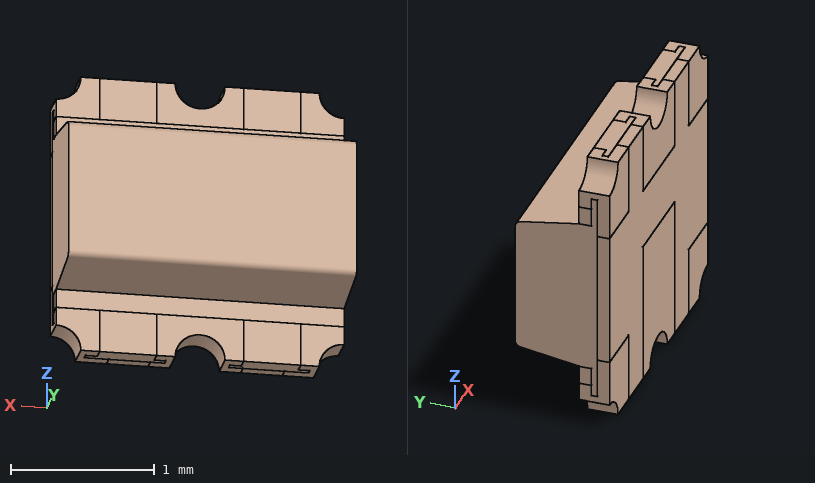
import cadquery as cq
import math


board_size = 2.04
total_depth = 0.7
half_board = board_size / 2

mask_thickness = 0.09
sheet_thickness = 0.045
back_thickness = 0.092
sheet_front = mask_thickness
sheet_back = sheet_front + sheet_thickness
board_depth = sheet_back + back_thickness

notch_radius = 0.175
plating_thickness = 0.05
plating_radius = notch_radius + plating_thickness

corner_pad_width = 0.398
middle_pad_width = 0.655
short_pad_height = 0.52
tall_pad_height = 1.069

land_size = 0.308
middle_land_width = 2 * land_size
land_inner_edge = half_board - land_size

lens_base_height = 1.153
lens_draft = 9.0
lens_edge_radius = 0.047
lens_depth = total_depth - board_depth
lens_tip_height = lens_base_height - 2 * lens_depth * math.tan(math.radians(lens_draft))


def block(width, height, front, back, x_center=0.0, z_center=0.0):
    """Box of the given X width and Z height, spanning Y from front to back."""
    return cq.Workplane("XY").box(width, back - front, height).translate(
        (x_center, (front + back) / 2, z_center)
    )


def cylinder(radius, x, z):
    """Cylinder along Y through the whole board depth."""
    return cq.Workplane("XZ").center(x, z).circle(radius).extrude(-board_depth)


def edge_block(width, height, front, back, column, side):
    """Box against the top (side 1) or bottom (side -1) board edge.

    Column -1 or 1 sets it into that corner; column 0 centres it on the edge.
    """
    x_center = column * (half_board - width / 2)
    z_center = side * (half_board - height / 2)
    return block(width, height, front, back, x_center, z_center)


def pad_block(column, side):
    """Solder pad of one contact; the bottom middle pad is the tall one."""
    width = corner_pad_width if column else middle_pad_width
    height = tall_pad_height if (column, side) == (0, -1) else short_pad_height
    return edge_block(width, height, 0, sheet_front, column, side)


def land_block(column, side):
    """Back land of one contact."""
    width = land_size if column else middle_land_width
    return edge_block(width, land_size, sheet_back, board_depth, column, side)


contact_places = [(column, side) for side in (1, -1) for column in (-1, 0, 1)]


def make_contact(column, side):
    x = column * half_board
    z = side * half_board
    sheet_layer = block(board_size, board_size, sheet_front, sheet_back)
    wall = cylinder(plating_radius, x, z).intersect(sheet_layer)
    contact = pad_block(column, side).union(wall).union(land_block(column, side))
    return contact.cut(cylinder(notch_radius, x, z))


def make_mask():
    mask = block(board_size, board_size, 0, sheet_front)
    for column, side in contact_places:
        mask = mask.cut(pad_block(column, side))
    return mask


def make_core():
    sheet = block(board_size, board_size, sheet_front, sheet_back)
    for column, side in contact_places:
        sheet = sheet.cut(cylinder(plating_radius, column * half_board, side * half_board))
    return sheet.union(make_lens()).union(make_tabs())


def make_lens():
    foot = block(board_size, lens_base_height, sheet_back, board_depth)
    bar = (
        cq.Workplane("YZ")
        .moveTo(board_depth, -lens_base_height / 2)
        .lineTo(total_depth, -lens_tip_height / 2)
        .lineTo(total_depth, lens_tip_height / 2)
        .lineTo(board_depth, lens_base_height / 2)
        .close()
        .extrude(half_board, both=True)
        .faces(">Y")
        .edges("|X")
        .fillet(lens_edge_radius)
    )
    return foot.union(bar)


def make_tabs():
    tabs = cq.Workplane("XY")
    inner_edge = middle_land_width / 2
    tab_width = land_inner_edge - inner_edge
    x_offset = (land_inner_edge + inner_edge) / 2
    z_offset = half_board - land_size / 2
    for x_side in (-1, 1):
        for z_side in (-1, 1):
            x_center = x_side * x_offset
            z_center = z_side * z_offset
            tabs = tabs.add(block(tab_width, land_size, sheet_back, board_depth, x_center, z_center))
    return tabs


def make_strip(side):
    strip_height = land_inner_edge - lens_base_height / 2
    z_center = side * (land_inner_edge + lens_base_height / 2) / 2
    return block(board_size, strip_height, sheet_back, board_depth, z_center=z_center)


contacts = [make_contact(column, side) for column, side in contact_places]
mask = make_mask()
core = make_core()
strips = [make_strip(side) for side in (1, -1)]

result = cq.Compound.makeCompound(
    [mask.val(), core.val()]
    + [strip.val() for strip in strips]
    + [contact.val() for contact in contacts]
)